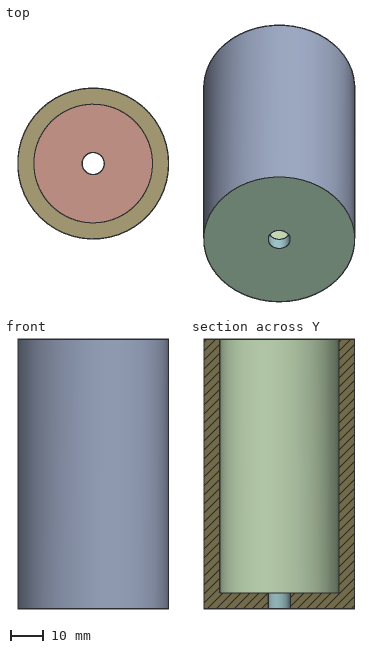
import cadquery as cq

height = 83.0
outer_diameter = 46.5
bore_diameter = 36.5
wall = (outer_diameter - bore_diameter) / 2

floor_thickness = wall
floor_hole_diameter = 6.7

body = cq.Workplane("XY").circle(outer_diameter / 2).extrude(height)

bore = (
    cq.Workplane("XY")
    .workplane(offset=floor_thickness)
    .circle(bore_diameter / 2)
    .extrude(height - floor_thickness)
)

floor_hole = cq.Workplane("XY").circle(floor_hole_diameter / 2).extrude(floor_thickness)

result = body.cut(bore).cut(floor_hole)